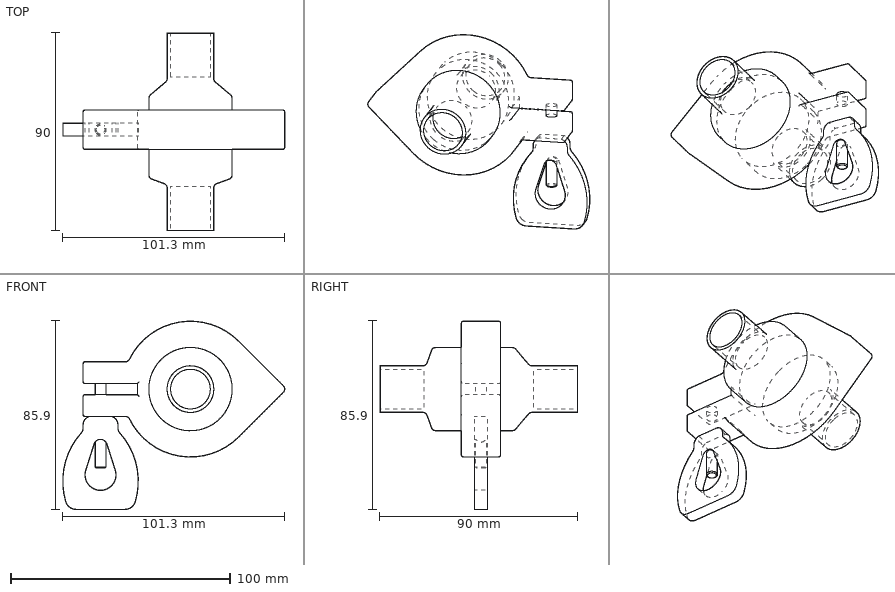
import cadquery as cq
import math

tube_length = 90.0
tube_radius = 21.3 / 2
bore_radius = 18.1 / 2
bore_depth = 20.0
valve_radius = 38.0 / 2
front_shoulder_y = -21.1
front_cone_angle = 20.0
rear_shoulder_y = 16.3
rear_cone_angle = 40.0
cone_blend_radius = 2.0

clamp_radius = 31.0
clamp_width = 18.0
clamp_y = 1.0
tip_radius = 2.0
ear_end_x = -49.0
ear_half_height = 12.5
ear_blend_radius = 2.0
slot_height = 5.0
slot_end_x = -24.2
edge_radius = 1.0

screw_x = -41.0
screw_radius = 5.0 / 2
screw_bottom_z = -36.0
screw_top_z = 6.0
screw_chamfer = 0.5

wing_thickness = 6.0
wing_half_width = 17.25
wing_side_radius = 33.0
wing_widest_z = -42.0
wing_bottom_z = -54.9
wing_corner_radius = 5.0
neck_half_width = 8.0
neck_top_z = -12.3
neck_corner_radius = 4.0
neck_blend_radius = 3.5
window_low_radius = 7.0
window_low_z = -39.1
window_high_radius = 3.0
window_high_z = -25.9


def plane_at(y):
    """Workplane square to Y at the given y, with local axes X and Z and normal -Y."""
    return cq.Workplane("XZ", origin=(0, y, 0))


def make_valve_body():
    half_length = tube_length / 2
    step = valve_radius - tube_radius
    front_cone_y = front_shoulder_y - step * math.tan(math.radians(front_cone_angle))
    rear_cone_y = rear_shoulder_y + step * math.tan(math.radians(rear_cone_angle))
    body = (
        cq.Workplane("XY")
        .moveTo(0, -half_length)
        .lineTo(tube_radius, -half_length)
        .lineTo(tube_radius, front_cone_y)
        .lineTo(valve_radius, front_shoulder_y)
        .lineTo(valve_radius, rear_shoulder_y)
        .lineTo(tube_radius, rear_cone_y)
        .lineTo(tube_radius, half_length)
        .lineTo(0, half_length)
        .close()
        .revolve(360, (0, 0, 0), (0, 1, 0))
    )
    body = body.edges("%CIRCLE and (not (<Y or >Y))").fillet(cone_blend_radius)
    front_bore = plane_at(-half_length).circle(bore_radius).extrude(-bore_depth)
    rear_bore = plane_at(half_length).circle(bore_radius).extrude(bore_depth)
    return body.cut(front_bore).cut(rear_bore)


def make_clamp():
    back_y = clamp_y + clamp_width / 2
    tangent_point = clamp_radius / math.sqrt(2)
    tip_x = clamp_radius * math.sqrt(2)
    ear_root_x = -math.sqrt(clamp_radius**2 - ear_half_height**2)
    clamp = (
        plane_at(back_y)
        .moveTo(ear_end_x, ear_half_height)
        .lineTo(ear_root_x, ear_half_height)
        .threePointArc((0, clamp_radius), (tangent_point, tangent_point))
        .lineTo(tip_x, 0)
        .lineTo(tangent_point, -tangent_point)
        .threePointArc((0, -clamp_radius), (ear_root_x, -ear_half_height))
        .lineTo(ear_end_x, -ear_half_height)
        .close()
        .extrude(clamp_width)
    )
    for z in (-ear_half_height, ear_half_height):
        root = cq.selectors.NearestToPointSelector((ear_root_x, clamp_y, z))
        clamp = clamp.edges("|Y").edges(root).fillet(ear_blend_radius)
    clamp = clamp.edges("|Y and >X").fillet(tip_radius)
    slot_length = slot_end_x - ear_end_x
    slot = (
        plane_at(back_y)
        .center(ear_end_x + slot_length / 2, 0)
        .rect(slot_length, slot_height)
        .extrude(clamp_width)
    )
    clamp = clamp.cut(slot)
    clamp = clamp.edges("|Y and <X").fillet(edge_radius)
    return clamp.faces("<Y or >Y").edges().fillet(edge_radius)


def make_screw():
    return (
        cq.Workplane("XY", origin=(screw_x, clamp_y, screw_bottom_z))
        .circle(screw_radius)
        .extrude(screw_top_z - screw_bottom_z)
        .faces("<Z")
        .chamfer(screw_chamfer)
    )


def make_window(back_y):
    """Keyhole opening: two circles joined by their common tangents."""
    tilt = math.asin((window_low_radius - window_high_radius) / (window_high_z - window_low_z))

    def tangent_point(radius, z):
        return radius * math.cos(tilt), z + radius * math.sin(tilt)

    low_x, low_z = tangent_point(window_low_radius, window_low_z)
    high_x, high_z = tangent_point(window_high_radius, window_high_z)
    return (
        plane_at(back_y)
        .center(screw_x, 0)
        .moveTo(low_x, low_z)
        .lineTo(high_x, high_z)
        .threePointArc((0, window_high_z + window_high_radius), (-high_x, high_z))
        .lineTo(-low_x, low_z)
        .threePointArc((0, window_low_z - window_low_radius), (low_x, low_z))
        .close()
        .extrude(wing_thickness)
    )


def make_wing():
    back_y = clamp_y + wing_thickness / 2

    def side_x(z):
        rise = z - wing_widest_z
        return wing_half_width - wing_side_radius + math.sqrt(wing_side_radius**2 - rise**2)

    bottom_x = side_x(wing_bottom_z)
    inset = wing_half_width - neck_half_width
    shoulder_z = wing_widest_z + math.sqrt(wing_side_radius**2 - (wing_side_radius - inset) ** 2)
    wing = (
        plane_at(back_y)
        .center(screw_x, 0)
        .moveTo(-neck_half_width, neck_top_z)
        .lineTo(neck_half_width, neck_top_z)
        .lineTo(neck_half_width, shoulder_z)
        .threePointArc((wing_half_width, wing_widest_z), (bottom_x, wing_bottom_z))
        .lineTo(-bottom_x, wing_bottom_z)
        .threePointArc((-wing_half_width, wing_widest_z), (-neck_half_width, shoulder_z))
        .close()
        .extrude(wing_thickness)
    )
    wing = wing.edges("|Y and >Z").fillet(neck_corner_radius)
    wing = wing.edges("|Y and <Z").fillet(wing_corner_radius)
    for x in (screw_x - neck_half_width, screw_x + neck_half_width):
        shoulder = cq.selectors.NearestToPointSelector((x, clamp_y, shoulder_z))
        wing = wing.edges("|Y").edges(shoulder).fillet(neck_blend_radius)
    return wing.cut(make_window(back_y))


result = make_clamp().union(make_wing()).union(make_screw()).union(make_valve_body())